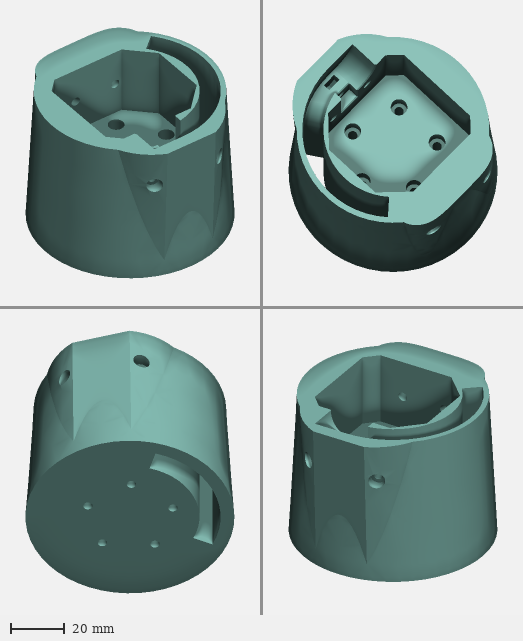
import cadquery as cq
import math

height = 58.4
base_radius = 39.0
top_radius = 35.95

left_bulge_inner_x = -15.6
left_bulge_half_curve = [(-26.9, 23.25), (-31.35, 21.0), (-34.2, 17.3), (-35.8, 10.1)]

right_bulge_x = 13.7
right_bulge_top_radius = 27.6
right_bulge_bottom_radius = 25.6
flat_top_x = base_radius
flat_bottom_x = 36.7

cavity_half_width = 21.9
cavity_front_y = -23.8
cavity_back_y = 22.1
cavity_front_chamfer = 4.8
cavity_back_chamfer = 10.0
cavity_floor_z = 29.8

floor_hole_count = 5
floor_hole_circle_radius = 16.7
screw_diameter = 3.5
screw_head_diameter = 6.25
floor_head_depth = 6.0

side_hole_angle = 22.5
side_hole_z = 43.45
side_head_seat_radius = 34.7

channel_outer_radius = 33.85
channel_inner_radius = 26.0
channel_start_angle = 130.5
channel_end_angle = 32.5
shelf_z = 48.6
ramp_radius = 7.4

pocket_back_x = 26.1
pocket_left_y = 4.6
pocket_right_y = -3.7
pocket_floor_z = 40.0
sweep_radius = height - shelf_z
opening_top_z = height + sweep_radius
opening_chamfer = 0.5

nut_width = 5.5
nut_thickness = 2.7
nut_x = 29.7
nut_y = 0.6
nut_z = 43.7


def polar(radius, angle):
    """Point in the XY plane at a radius and an angle in degrees."""
    return radius * math.cos(math.radians(angle)), radius * math.sin(math.radians(angle))


def frustum(center_x, bottom_radius, upper_radius):
    """Full-height upright frustum centred on the X axis."""
    return cq.Workplane(
        cq.Solid.makeCone(bottom_radius, upper_radius, height, pnt=cq.Vector(center_x, 0, 0))
    )


def left_bulge():
    """Full-height block behind the smooth outer curve, mirrored about the X axis."""
    mirrored_half = [(x, -y) for x, y in reversed(left_bulge_half_curve)]
    curve = left_bulge_half_curve + [(-top_radius, 0)] + mirrored_half
    half_width = curve[0][1]
    return (
        cq.Workplane("XY")
        .moveTo(left_bulge_inner_x, half_width)
        .lineTo(*curve[0])
        .spline(curve[1:], includeCurrent=True)
        .lineTo(left_bulge_inner_x, -half_width)
        .close()
        .extrude(height)
    )


def right_bulge():
    """Widening frustum cut off by the sloping flat on its outer side."""
    trim = (
        cq.Workplane("XZ")
        .polyline([(0, 0), (flat_bottom_x, 0), (flat_top_x, height), (0, height)])
        .close()
        .extrude(base_radius, both=True)
    )
    return frustum(right_bulge_x, right_bulge_bottom_radius, right_bulge_top_radius).intersect(trim)


def cavity():
    """Rectangular block with bevelled corners, larger at the back."""
    depth = height - cavity_floor_z
    block = (
        cq.Workplane("XY", origin=(0, 0, cavity_floor_z))
        .moveTo(0, (cavity_front_y + cavity_back_y) / 2)
        .rect(2 * cavity_half_width, cavity_back_y - cavity_front_y)
        .extrude(depth)
    )
    block = block.edges("|Z and >Y").chamfer(cavity_back_chamfer)
    return block.edges("|Z and <Y").chamfer(cavity_front_chamfer)


def floor_holes():
    """Counterbored holes, with one hole of the ring on the +Y axis."""
    holes = (
        cq.Workplane("XY")
        .polarArray(floor_hole_circle_radius, 90, 360, floor_hole_count)
        .circle(screw_diameter / 2)
        .extrude(cavity_floor_z)
    )
    heads = (
        cq.Workplane("XY", origin=(0, 0, cavity_floor_z - floor_head_depth))
        .polarArray(floor_hole_circle_radius, 90, 360, floor_hole_count)
        .circle(screw_head_diameter / 2)
        .extrude(floor_head_depth)
    )
    return holes.union(heads)


def side_hole(angle):
    """Radial counterbored hole from the cavity to the outside."""
    start_radius = cavity_half_width - screw_diameter / 2
    outer_radius = base_radius + screw_head_diameter
    direction = cq.Vector(*polar(1, angle), 0)
    axis_start = cq.Vector(0, 0, side_hole_z)
    shank = cq.Solid.makeCylinder(
        screw_diameter / 2, outer_radius - start_radius, axis_start + direction * start_radius, direction
    )
    head = cq.Solid.makeCylinder(
        screw_head_diameter / 2,
        outer_radius - side_head_seat_radius,
        axis_start + direction * side_head_seat_radius,
        direction,
    )
    return cq.Workplane(shank).union(cq.Workplane(head))


def arc_sector(start_angle, end_angle, bottom_z):
    """Ring sector between the channel radii, from bottom_z to the top."""
    middle_angle = (start_angle + end_angle) / 2
    return (
        cq.Workplane("XY", origin=(0, 0, bottom_z))
        .moveTo(*polar(channel_outer_radius, start_angle))
        .threePointArc(polar(channel_outer_radius, middle_angle), polar(channel_outer_radius, end_angle))
        .lineTo(*polar(channel_inner_radius, end_angle))
        .threePointArc(polar(channel_inner_radius, middle_angle), polar(channel_inner_radius, start_angle))
        .close()
        .extrude(height - bottom_z)
    )


def ramp_cut():
    """Space above the rounded edge where the shelf drops into the through channel."""
    corner_z = shelf_z - ramp_radius
    bend = ramp_radius * math.sqrt(0.5)
    end_plane = cq.Plane(
        origin=(0, 0, 0),
        xDir=(*polar(1, channel_end_angle - 90), 0),
        normal=(*polar(-1, channel_end_angle), 0),
    )
    space = (
        cq.Workplane(end_plane)
        .moveTo(0, corner_z)
        .threePointArc((ramp_radius - bend, corner_z + bend), (ramp_radius, shelf_z))
        .lineTo(ramp_radius, height)
        .lineTo(0, height)
        .close()
        .extrude(-base_radius)
    )
    return space.intersect(arc_sector(channel_end_angle, 0, 0))


def shelf_cut():
    """Space above the flat shelf, between the ramp and the upward sweep."""
    ramp_side = (
        cq.Workplane("XY")
        .box(2 * base_radius, 2 * base_radius, height, centered=(True, False, False))
        .translate((0, -ramp_radius, 0))
        .rotate((0, 0, 0), (0, 0, 1), channel_end_angle)
    )
    return arc_sector(channel_end_angle, 0, shelf_z).cut(ramp_side)


def opening_profile(start_x):
    """Side outline of the pocket and the upward sweep, open to the top."""
    bend = sweep_radius * math.sqrt(0.5)
    return (
        cq.Workplane("YZ", origin=(start_x, 0, 0))
        .moveTo(pocket_left_y, opening_top_z)
        .lineTo(pocket_left_y, pocket_floor_z)
        .lineTo(pocket_right_y, pocket_floor_z)
        .lineTo(pocket_right_y, shelf_z)
        .threePointArc(
            (pocket_right_y - bend, height - bend), (pocket_right_y - sweep_radius, height)
        )
        .lineTo(pocket_right_y - sweep_radius, opening_top_z)
        .close()
    )


def pocket_and_sweep():
    """Pocket beside the cavity, with the sweep that rises from the shelf to the top."""
    full = opening_profile(cavity_half_width).extrude(channel_outer_radius - cavity_half_width)
    behind_pocket = (
        cq.Workplane("XY", origin=(pocket_back_x, pocket_right_y, 0))
        .box(base_radius, base_radius, 2 * height, centered=False)
    )
    shelf_front = (
        cq.Workplane("XY", origin=(pocket_back_x, pocket_right_y, shelf_z))
        .box(channel_outer_radius - pocket_back_x, -pocket_right_y, sweep_radius, centered=False)
    )
    return full.cut(behind_pocket).union(shelf_front)


def opening_bevel():
    """Bevel where the opening breaks through the cavity wall."""
    grown = opening_profile(cavity_half_width + opening_chamfer)
    return grown.extrude(-2 * opening_chamfer, taper=-45)


def shelf_edge_bevel():
    """Bevel along the shelf edge above the pocket."""
    return (
        cq.Workplane("XZ", origin=(0, pocket_left_y, 0))
        .polyline(
            [
                (pocket_back_x, shelf_z - opening_chamfer),
                (pocket_back_x, shelf_z),
                (pocket_back_x + opening_chamfer, shelf_z),
            ]
        )
        .close()
        .extrude(pocket_left_y - pocket_right_y)
    )


def nut_slot():
    """Drop-in slot for a hexagonal nut standing on a corner, and its screw hole."""
    corner_drop = nut_width / 2 * math.tan(math.radians(30))
    flat_end_z = nut_z - corner_drop
    left_y = nut_y - nut_width / 2
    right_y = nut_y + nut_width / 2
    slot = (
        cq.Workplane("YZ", origin=(nut_x, 0, 0))
        .polyline(
            [
                (left_y, shelf_z),
                (left_y, flat_end_z),
                (nut_y, nut_z - 2 * corner_drop),
                (right_y, flat_end_z),
                (right_y, shelf_z),
            ]
        )
        .close()
        .extrude(nut_thickness)
    )
    hole = (
        cq.Workplane("YZ", origin=(pocket_back_x, nut_y, nut_z))
        .circle(screw_diameter / 2)
        .extrude(nut_x - pocket_back_x)
    )
    return slot.union(hole)


result = frustum(0, base_radius, top_radius).union(left_bulge()).union(right_bulge())
result = result.cut(cavity()).cut(floor_holes())
result = result.cut(arc_sector(channel_start_angle, channel_end_angle, 0))
result = result.cut(ramp_cut()).cut(shelf_cut())
result = result.cut(pocket_and_sweep()).cut(opening_bevel()).cut(shelf_edge_bevel()).cut(nut_slot())
for axis_angle in (0, 180):
    for side in (-1, 1):
        result = result.cut(side_hole(axis_angle + side * side_hole_angle))